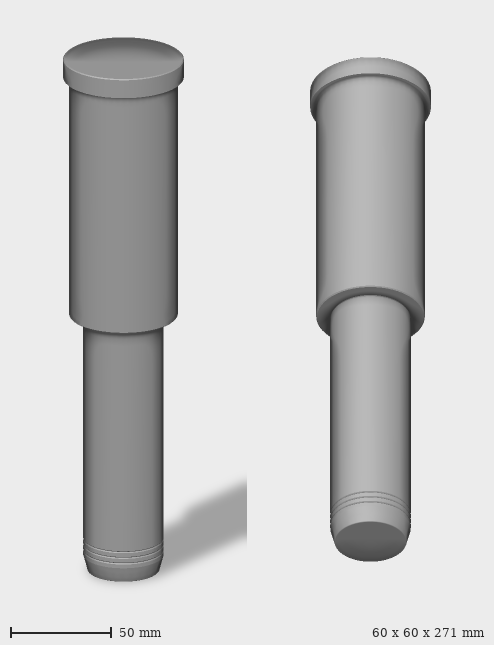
import cadquery as cq
import math

total_length = 271.0
head_thickness = 10.0
body_length = 126.0

head_diameter = 60.0
body_diameter = 54.0
pin_diameter = 40.0

tip_length = 8.0
tip_angle = 15.0
tip_edge_radius = 0.5

head_edge_chamfer = 0.5
body_edge_chamfer = 0.5
head_corner_radius = 1.0

relief_width = 1.0
relief_depth = 0.5

groove_count = 3
groove_pitch = 3.0
groove_width = 1.0
groove_depth = 0.5
first_groove_bottom = 10.0

head_bottom = total_length - head_thickness
body_bottom = head_bottom - body_length
body_radius = body_diameter / 2
pin_radius = pin_diameter / 2


def cylinder(diameter, bottom, top):
    """Upright cylinder on the Z axis between two heights."""
    return cq.Workplane("XY").workplane(offset=bottom).circle(diameter / 2).extrude(top - bottom)


def revolve_about_z(profile):
    """Full turn of an XZ profile about the Z axis."""
    return profile.revolve(360, (0, 0, 0), (0, 1, 0))


def make_head():
    """Flange disc with a chamfered top rim."""
    head = cylinder(head_diameter, head_bottom, total_length)
    return head.faces(">Z").edges().chamfer(head_edge_chamfer)


def make_body():
    """Thick shank with a chamfered lower rim."""
    body = cylinder(body_diameter, body_bottom, head_bottom)
    return body.faces("<Z").edges().chamfer(body_edge_chamfer)


def make_pin():
    """Slim pin with a tapered tip and a rounded end."""
    taper_run = tip_length * math.tan(math.radians(tip_angle))
    pin = cylinder(pin_diameter, 0, body_bottom)
    pin = pin.faces("<Z").edges().chamfer(tip_length, taper_run)
    return pin.faces("<Z").edges().fillet(tip_edge_radius)


def make_head_corner():
    """Concave ring filling the corner between the body and the underside of the head."""
    inner_radius = body_radius - head_corner_radius
    lower_height = head_bottom - head_corner_radius
    profile = (
        cq.Workplane("XZ")
        .moveTo(inner_radius, head_bottom)
        .lineTo(body_radius + head_corner_radius, head_bottom)
        .radiusArc((body_radius, lower_height), -head_corner_radius)
        .lineTo(inner_radius, lower_height)
        .close()
    )
    return revolve_about_z(profile)


def make_relief():
    """Square ring removed from the top of the pin."""
    relief_bottom = body_bottom - relief_width
    core = cylinder(pin_diameter - 2 * relief_depth, relief_bottom, body_bottom)
    return cylinder(pin_diameter, relief_bottom, body_bottom).cut(core)


def make_groove(bottom):
    """Ring of triangular section that cuts a V into the pin surface."""
    profile = (
        cq.Workplane("XZ")
        .moveTo(pin_radius, bottom)
        .lineTo(pin_radius - groove_depth, bottom + groove_width / 2)
        .lineTo(pin_radius, bottom + groove_width)
        .close()
    )
    return revolve_about_z(profile)


result = make_head().union(make_body()).union(make_pin())
result = result.union(make_head_corner())
result = result.cut(make_relief())
for index in range(groove_count):
    result = result.cut(make_groove(first_groove_bottom + index * groove_pitch))